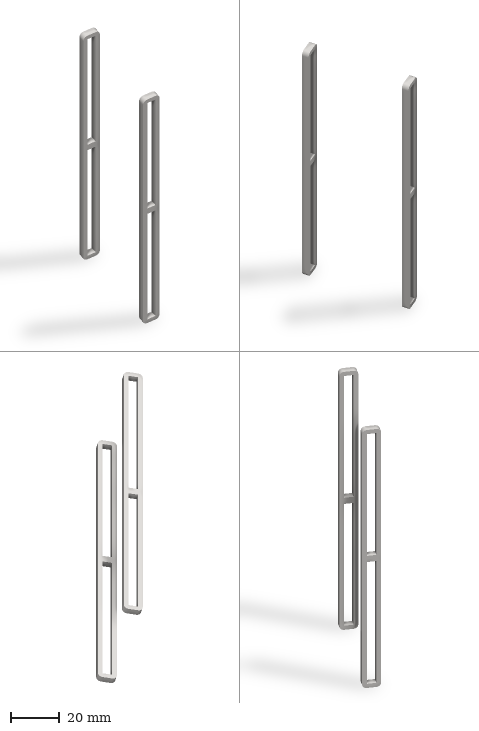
import cadquery as cq

height = 125.0
depth = 8.0
overall_width = 48.5

thickness = 3.0
wall = 2.0
crossbar_height = 3.0
corner_radius = 2.0

window_depth = depth - 2 * wall
window_height = (height - 2 * wall - crossbar_height) / 2
window_offset = (window_height + crossbar_height) / 2
frame_offset = (overall_width - thickness) / 2


def make_frame(center_x):
    """Upright rounded frame with two windows running through it along X."""
    frame = (
        cq.Workplane("XY")
        .box(thickness, depth, height)
        .edges("|X")
        .fillet(corner_radius)
    )
    for side in (-1, 1):
        window = (
            cq.Workplane("XY")
            .box(thickness, window_depth, window_height)
            .translate((0, 0, side * window_offset))
        )
        frame = frame.cut(window)
    return frame.translate((center_x, 0, 0))


frames = [make_frame(side * frame_offset) for side in (-1, 1)]

result = cq.Compound.makeCompound([frame.val() for frame in frames])